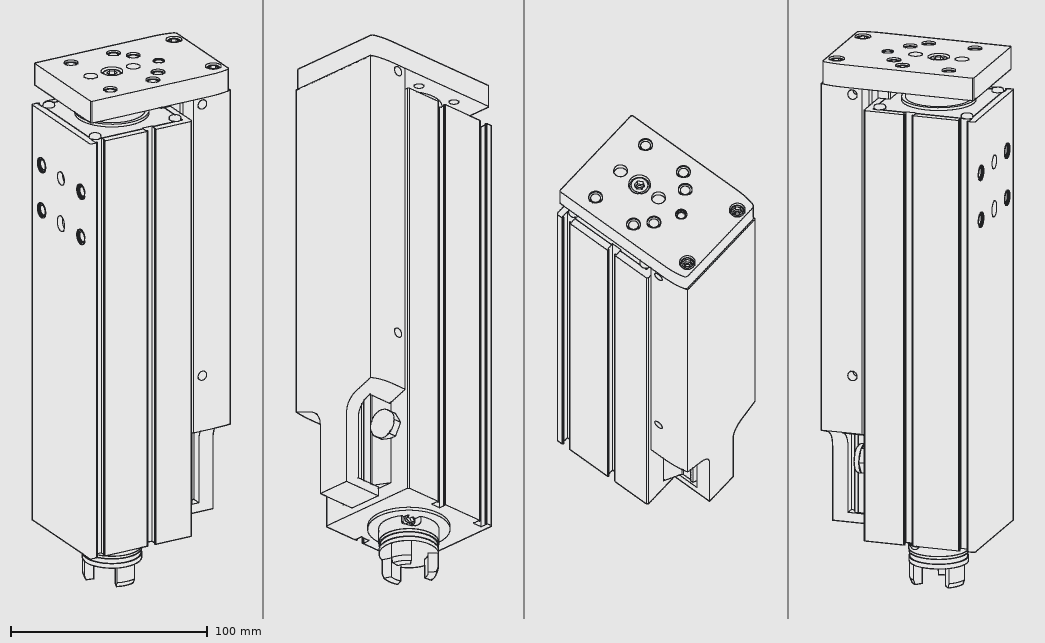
import cadquery as cq
import math


TIP_HALF_ANGLE = 59.0
TIP_FRACTION = 0.9

HOUSING_SIZE = 60.0
HOUSING_HEIGHT = 229.5
HOUSING_HALF = HOUSING_SIZE / 2
FRONT_CORNER_ROUND = 1.0
BACK_CORNER_CHAMFER = 0.8
CAP_INSET = 3.8
CAP_RAISE = 0.2
SLOT_CENTRES_Y = (6.0, -23.8)
SLOT_STEPS = ((4.9, 0.3), (4.0, 0.8))
SLOT_CAVITY_WIDTH = 5.6
SLOT_DEPTH = 4.5
COLLAR_DIAMETER = 38.0
COLLAR_HEIGHT = 1.7
LID_SCREW_OFFSET = 23.5
LID_SCREW_DIAMETER = 6.0
LID_SCREW_HEIGHT = 1.7
LID_SCREW_DOME = 0.9
BASE_FLANGE_DIAMETER = 42.0
BASE_FLANGE_HEIGHT = 1.7

PATTERN_X = 20.0
PATTERN_PITCH = 25.0
PATTERN_DROP = 30.0
PATTERN_TOP_Z = HOUSING_HEIGHT - PATTERN_DROP
PATTERN_BOTTOM_Z = PATTERN_TOP_Z - PATTERN_PITCH
DOWEL_DIAMETER = 7.0
DOWEL_DEPTH = 3.0
DOWEL_SLOT_LENGTH = 8.3
INSERT_STEPS = ((8.0, 0.5), (6.5, 1.0), (5.0, 10.0), (4.13, 14.0))

NUT_X = -16.9
NUT_Z = 39.6
NUT_ACROSS_FLATS = 13.0
NUT_LENGTH = 4.6
NUT_HEAD_DIAMETER = 15.0
NUT_HEAD_HEIGHT = 3.0
NUT_HEAD_ROUND = 1.5

ROD_DIAMETER = 34.0
ROD_SEAT_DEPTH = 20.0
ROD_SCREW_SHANK = 8.5
ROD_SCREW_HEAD = 10.0
ROD_SCREW_HEAD_HEIGHT = 6.0
ROD_SCREW_CHAMFER = 0.75
ROD_SCREW_SOCKET = 4.5
ROD_SCREW_SOCKET_DEPTH = 3.0
ROD_SCREW_PILOT = 3.0
ROD_SCREW_PILOT_DEPTH = 5.0
ROD_SCREW_RECESS = 0.8

PLATE_GAP = 11.0
PLATE_THICKNESS = 12.0
PLATE_BOTTOM = HOUSING_HEIGHT + PLATE_GAP
PLATE_TOP = PLATE_BOTTOM + PLATE_THICKNESS
PLATE_FRONT_Y = -29.0
PLATE_FRONT_CHAMFER = 0.5
PLATE_BACK_Y = 53.3
PLATE_BACK_ROUND = 2.0
ROD_SCREW_HOLE = 11.0
TAP_RIM = 7.0
TAP_BORE = 5.0
TAP_RIM_DEPTH = 1.0
UPPER_TAP_X = 12.5
UPPER_TAP_Y = 19.8
STOP_HOLE_STEPS = ((5.7, 0.6), (4.51, 2.0), (4.0, 9.0))
STOP_Y = 27.5
TABLE_SCREW_X = 20.0
TABLE_SCREW_Y = 48.0
TABLE_SCREW_BORE = 8.0
TABLE_SCREW_BORE_DEPTH = 5.0
TABLE_SCREW_HEAD = 7.0
TABLE_SCREW_CHAMFER = 0.6
TABLE_SCREW_RECESS = 0.6
TABLE_SCREW_SOCKET = 4.0
TABLE_SCREW_SOCKET_DEPTH = 2.5
TABLE_SCREW_PILOT = 2.46
TABLE_SCREW_PILOT_DEPTH = 3.5

SLIDE_HALF = 29.0
SLIDE_BACK_HALF = 27.0
SLIDE_STRAIGHT_Y = 41.4
TABLE_FRONT_Y = 31.3
TABLE_BACK_Y = 54.0
TABLE_SHOULDER_Z = 56.4
SHOULDER_SLOPE = 20.0
TAIL_HALF = 9.5
TAIL_ROUND = 10.4
TAIL_BOTTOM_Z = 2.5
HOOK_TOP_Z = 7.6
CHANNEL_HALF = 17.9
CHANNEL_BACK_Y = 45.6
SIDE_HOLE_DIAMETER = 5.0
SIDE_HOLE_DEPTH = 8.0
SIDE_HOLE_Y = 36.4
SIDE_HOLES_Z = (237.0, 87.0)

RAIL_FOOT_HALF = 17.4
RAIL_FOOT_TOP_Y = 34.8
RAIL_FLARE_HALF = 8.4
RAIL_FLARE_Y = 35.5
RAIL_WAIST_HALF = 8.0
RAIL_HEAD_HALF = 8.5
RAIL_STEP_Y = 40.5
RAIL_SHOULDER_Y = 42.2
RAIL_NECK_Y = 43.9
RAIL_NECK_HALF = 4.5
STOP_HALF_WIDTH = 8.0
STOP_FRONT_Y = 23.6
STOP_TOP_Z = 237.0
STOP_CHAMFER = 0.8
STOP_SCREW_DIAMETER = 5.5

COUPLING_DIAMETER = 30.8
HUB_BOTTOM_Z = -10.9
HUB_LINE_Z = -9.3
HUB_BAND_DIAMETER = 30.4
GROOVE_BOTTOM_Z = -13.5
GROOVE_DIAMETER = 29.4
RIM_BOTTOM_Z = -16.0
RIM_DIAMETER = 30.4
JAW_BOTTOM_Z = -26.8
JAW_OUTER_RADIUS = 15.0
JAW_INNER_RADIUS = 9.8
JAW_HALF_ANGLE = 20.5
JAW_COUNT = 3
JAW_CHAMFER_WIDTH = 1.0
JAW_CHAMFER_HEIGHT = 2.6
CLAMP_Y = 9.4
CLAMP_Z = -3.6
CLAMP_BORE_DIAMETER = 8.0
CLAMP_FLOOR_X = -8.0
CLAMP_HEAD_DIAMETER = 5.7
CLAMP_HEAD_HEIGHT = 3.0
CLAMP_SOCKET = 4.0
CLAMP_SOCKET_DEPTH = 2.0


def block(x_range, y_range, z_range):
    """Box between two limits on each axis."""
    sizes = [high - low for low, high in (x_range, y_range, z_range)]
    corner = (x_range[0], y_range[0], z_range[0])
    return cq.Workplane("XY").box(*sizes, centered=False).translate(corner)


def upright(diameter, z_range, points=((0, 0),)):
    """Cylinders along Z between two heights."""
    low, high = z_range
    base = cq.Workplane("XY").workplane(offset=low)
    return base.pushPoints(points).circle(diameter / 2).extrude(high - low)


def hexagon(across_flats):
    """Corner-to-corner diameter of a hexagon."""
    return across_flats / math.cos(math.pi / 6)


def stepped_drill(steps, plane, points):
    """Coaxial cylinders cut from the plane against its normal, one per (diameter, depth) step."""
    drill = plane.pushPoints(points).circle(steps[0][0] / 2).extrude(-steps[0][1])
    for diameter, depth in steps[1:]:
        drill = drill.union(plane.pushPoints(points).circle(diameter / 2).extrude(-depth))
    return drill


def drill_tips(diameter, depth, plane, points):
    """Conical ends of drilled holes that are cut from the plane to the given depth."""
    tip = TIP_FRACTION * diameter / 2 / math.tan(math.radians(TIP_HALF_ANGLE))
    end = plane.workplane(offset=-depth)
    return end.pushPoints(points).circle(diameter / 2).extrude(-tip, taper=TIP_HALF_ANGLE)


def socket_head(head, chamfer, height, socket, pilot):
    """Screw head standing on Z = 0 with a hexagon socket and a pilot hole below it."""
    body = cq.Workplane("XY").circle(head / 2).extrude(height)
    body = body.faces(">Z").edges().chamfer(chamfer)
    top = cq.Workplane("XY").workplane(offset=height)
    socket_size, socket_depth = socket
    body = body.cut(top.polygon(6, hexagon(socket_size)).extrude(-socket_depth))
    return body.cut(stepped_drill((pilot,), top, [(0, 0)]))


def add_lid_screws(body):
    head_top = HOUSING_HEIGHT + LID_SCREW_HEIGHT
    for x in (-LID_SCREW_OFFSET, LID_SCREW_OFFSET):
        for y in (-LID_SCREW_OFFSET, LID_SCREW_OFFSET):
            head = upright(LID_SCREW_DIAMETER, (HOUSING_HEIGHT, head_top), [(x, y)])
            head = head.faces(">Z").edges().fillet(LID_SCREW_DOME)
            body = body.union(head)
    return body


def make_stop_nut():
    plane = cq.Workplane("XZ", origin=(NUT_X, HOUSING_HALF, NUT_Z))
    hex_part = plane.polygon(6, hexagon(NUT_ACROSS_FLATS)).extrude(-NUT_LENGTH)
    head = plane.workplane(offset=-NUT_LENGTH).circle(NUT_HEAD_DIAMETER / 2).extrude(-NUT_HEAD_HEIGHT)
    head = head.faces(">Y").edges().fillet(NUT_HEAD_ROUND)
    return hex_part.union(head)


def make_sensor_slot(side, y):
    """Stepped mouth leading into a wider cavity, along the whole height of one side."""
    height = HOUSING_HEIGHT + CAP_RAISE
    mouth_depth = SLOT_STEPS[-1][1]
    cavity_depth = SLOT_DEPTH - mouth_depth
    cavity_x = HOUSING_HALF - mouth_depth - cavity_depth / 2
    slot = cq.Workplane("XY").center(side * cavity_x, y).rect(cavity_depth, SLOT_CAVITY_WIDTH).extrude(height)
    for width, depth in SLOT_STEPS:
        step = cq.Workplane("XY").center(side * HOUSING_HALF, y).rect(2 * depth, width).extrude(height)
        slot = slot.union(step)
    return slot


def make_housing():
    body = cq.Workplane("XY").rect(HOUSING_SIZE, HOUSING_SIZE).extrude(HOUSING_HEIGHT)
    body = body.edges("|Z and <Y").fillet(FRONT_CORNER_ROUND)
    body = body.edges("|Z and >Y").chamfer(BACK_CORNER_CHAMFER)
    cap_size = HOUSING_SIZE - 2 * CAP_INSET
    cap = cq.Workplane("XY").workplane(offset=HOUSING_HEIGHT).rect(cap_size, cap_size).extrude(CAP_RAISE)
    body = body.union(cap)

    for y in SLOT_CENTRES_Y:
        for side in (-1, 1):
            body = body.cut(make_sensor_slot(side, y))

    inserts = [(x, z) for x in (-PATTERN_X, PATTERN_X) for z in (PATTERN_TOP_Z, PATTERN_BOTTOM_Z)]
    front = cq.Workplane("XZ", origin=(0, -HOUSING_HALF, 0))
    body = body.cut(stepped_drill(INSERT_STEPS, front, inserts))
    body = body.cut(drill_tips(*INSERT_STEPS[-1], front, inserts))
    body = body.cut(stepped_drill(((DOWEL_DIAMETER, DOWEL_DEPTH),), front, [(0, PATTERN_TOP_Z)]))
    dowel_slot = (
        cq.Workplane("XZ", origin=(0, -HOUSING_HALF, PATTERN_BOTTOM_Z))
        .slot2D(DOWEL_SLOT_LENGTH, DOWEL_DIAMETER, 90)
        .extrude(-DOWEL_DEPTH)
    )
    body = body.cut(dowel_slot)

    body = body.union(upright(COLLAR_DIAMETER, (HOUSING_HEIGHT, HOUSING_HEIGHT + COLLAR_HEIGHT)))
    rod_seat = (HOUSING_HEIGHT - ROD_SEAT_DEPTH, HOUSING_HEIGHT + COLLAR_HEIGHT)
    body = body.cut(upright(ROD_DIAMETER, rod_seat))
    body = add_lid_screws(body)
    return body.union(upright(BASE_FLANGE_DIAMETER, (-BASE_FLANGE_HEIGHT, 0)))


def make_rod():
    rod = upright(ROD_DIAMETER, (HOUSING_HEIGHT - ROD_SEAT_DEPTH, PLATE_BOTTOM))
    head_top = PLATE_TOP - ROD_SCREW_RECESS
    head_bottom = head_top - ROD_SCREW_HEAD_HEIGHT
    head = socket_head(
        ROD_SCREW_HEAD,
        ROD_SCREW_CHAMFER,
        ROD_SCREW_HEAD_HEIGHT,
        (ROD_SCREW_SOCKET, ROD_SCREW_SOCKET_DEPTH),
        (ROD_SCREW_PILOT, ROD_SCREW_PILOT_DEPTH),
    )
    shank = upright(ROD_SCREW_SHANK, (PLATE_BOTTOM, head_bottom))
    return rod.union(shank).union(head.translate((0, 0, head_bottom)))


def slide_outline(front_y):
    """Outline of the moving slide: straight sides that curve inwards to the back of the table."""
    middle = (SLIDE_STRAIGHT_Y + TABLE_BACK_Y) / 2
    inset = SLIDE_HALF - SLIDE_BACK_HALF
    middle_half = SLIDE_HALF - inset / 4
    return (
        cq.Workplane("XY")
        .moveTo(-SLIDE_HALF, front_y)
        .lineTo(SLIDE_HALF, front_y)
        .lineTo(SLIDE_HALF, SLIDE_STRAIGHT_Y)
        .threePointArc((middle_half, middle), (SLIDE_BACK_HALF, TABLE_BACK_Y))
        .lineTo(-SLIDE_BACK_HALF, TABLE_BACK_Y)
        .threePointArc((-middle_half, middle), (-SLIDE_HALF, SLIDE_STRAIGHT_Y))
        .close()
    )


def make_plate():
    plate = slide_outline(PLATE_FRONT_Y).extrude(PLATE_THICKNESS)
    plate = plate.edges("|Z and <Y").chamfer(PLATE_FRONT_CHAMFER)
    back_trim = block((-SLIDE_HALF, SLIDE_HALF), (PLATE_BACK_Y, TABLE_BACK_Y), (0, PLATE_THICKNESS))
    plate = plate.cut(back_trim)
    plate = plate.edges("|Z and >Y").fillet(PLATE_BACK_ROUND)
    plate = plate.translate((0, 0, PLATE_BOTTOM))
    whole = (PLATE_BOTTOM, PLATE_TOP)

    half_pitch = PATTERN_PITCH / 2
    top = cq.Workplane("XY").workplane(offset=PLATE_TOP)
    dowels = [(0, half_pitch), (0, -half_pitch)]
    head_seat = PLATE_TOP - ROD_SCREW_RECESS - ROD_SCREW_HEAD_HEIGHT
    plate = plate.cut(upright(ROD_SCREW_SHANK, whole))
    plate = plate.cut(upright(ROD_SCREW_HOLE, (head_seat, PLATE_TOP)))
    plate = plate.cut(stepped_drill(((DOWEL_DIAMETER, DOWEL_DEPTH),), top, dowels))
    plate = plate.cut(stepped_drill(STOP_HOLE_STEPS, top, [(0, STOP_Y)]))
    plate = plate.cut(drill_tips(*STOP_HOLE_STEPS[-1], top, [(0, STOP_Y)]))

    taps = [(x, y) for x in (-PATTERN_X, PATTERN_X) for y in (-half_pitch, half_pitch)]
    taps += [(-UPPER_TAP_X, UPPER_TAP_Y), (UPPER_TAP_X, UPPER_TAP_Y)]
    plate = plate.cut(stepped_drill(((TAP_RIM, TAP_RIM_DEPTH), (TAP_BORE, PLATE_THICKNESS)), top, taps))

    screws = [(-TABLE_SCREW_X, TABLE_SCREW_Y), (TABLE_SCREW_X, TABLE_SCREW_Y)]
    plate = plate.cut(stepped_drill(((TABLE_SCREW_BORE, TABLE_SCREW_BORE_DEPTH),), top, screws))
    head = socket_head(
        TABLE_SCREW_HEAD,
        TABLE_SCREW_CHAMFER,
        TABLE_SCREW_BORE_DEPTH - TABLE_SCREW_RECESS,
        (TABLE_SCREW_SOCKET, TABLE_SCREW_SOCKET_DEPTH),
        (TABLE_SCREW_PILOT, TABLE_SCREW_PILOT_DEPTH),
    )
    for x, y in screws:
        plate = plate.union(head.translate((x, y, PLATE_TOP - TABLE_SCREW_BORE_DEPTH)))
    return plate


def make_table():
    table = slide_outline(TABLE_FRONT_Y).extrude(PLATE_BOTTOM)
    drop = (SLIDE_HALF - TAIL_HALF) * math.tan(math.radians(SHOULDER_SLOPE))
    inner_z = TABLE_SHOULDER_Z - drop
    middle_y = (TABLE_FRONT_Y + TABLE_BACK_Y) / 2
    for side in (-1, 1):
        relief = (
            cq.Workplane("XZ", origin=(0, TABLE_FRONT_Y, 0))
            .moveTo(side * TAIL_HALF, 0)
            .lineTo(side * TAIL_HALF, inner_z)
            .lineTo(side * SLIDE_HALF, TABLE_SHOULDER_Z)
            .lineTo(side * SLIDE_HALF, 0)
            .close()
            .extrude(TABLE_FRONT_Y - TABLE_BACK_Y)
        )
        corner = cq.NearestToPointSelector((side * TAIL_HALF, middle_y, inner_z))
        table = table.cut(relief.edges(corner).fillet(TAIL_ROUND))
    below_tail = block((-SLIDE_HALF, SLIDE_HALF), (TABLE_FRONT_Y, TABLE_BACK_Y), (0, TAIL_BOTTOM_Z))
    table = table.cut(below_tail)
    channel = block(
        (-CHANNEL_HALF, CHANNEL_HALF), (TABLE_FRONT_Y, CHANNEL_BACK_Y), (HOOK_TOP_Z, PLATE_BOTTOM)
    )
    table = table.cut(channel)
    for side in (-1, 1):
        for z in SIDE_HOLES_Z:
            side_face = cq.Workplane("YZ", origin=(side * SLIDE_HALF, SIDE_HOLE_Y, z))
            hole = side_face.circle(SIDE_HOLE_DIAMETER / 2).extrude(-side * SIDE_HOLE_DEPTH)
            table = table.cut(hole)
    return table


def make_rail():
    half = [
        (RAIL_FOOT_HALF, HOUSING_HALF),
        (RAIL_FLARE_HALF, RAIL_FOOT_TOP_Y),
        (RAIL_WAIST_HALF, RAIL_FLARE_Y),
        (RAIL_WAIST_HALF, RAIL_STEP_Y),
        (RAIL_HEAD_HALF, RAIL_STEP_Y),
        (RAIL_HEAD_HALF, RAIL_SHOULDER_Y),
        (RAIL_NECK_HALF, RAIL_NECK_Y),
        (RAIL_NECK_HALF, CHANNEL_BACK_Y),
    ]
    outline = half + [(-x, y) for x, y in reversed(half)]
    base = cq.Workplane("XY").workplane(offset=HOOK_TOP_Z)
    rail = base.polyline(outline).close().extrude(STOP_TOP_Z - HOOK_TOP_Z)

    stop = block(
        (-STOP_HALF_WIDTH, STOP_HALF_WIDTH),
        (STOP_FRONT_Y, RAIL_STEP_Y),
        (HOUSING_HEIGHT + CAP_RAISE, STOP_TOP_Z),
    )
    stop = stop.edges("|Z and <Y").chamfer(STOP_CHAMFER)
    screw = upright(STOP_SCREW_DIAMETER, (STOP_TOP_Z, PLATE_BOTTOM), [(0, STOP_Y)])
    return rail.union(stop).union(screw).union(make_stop_nut())


def make_coupling():
    top = -BASE_FLANGE_HEIGHT
    coupling = upright(COUPLING_DIAMETER, (HUB_LINE_Z, top))
    coupling = coupling.union(upright(HUB_BAND_DIAMETER, (HUB_BOTTOM_Z, HUB_LINE_Z)))
    coupling = coupling.union(upright(GROOVE_DIAMETER, (GROOVE_BOTTOM_Z, HUB_BOTTOM_Z)))
    coupling = coupling.union(upright(RIM_DIAMETER, (RIM_BOTTOM_Z, GROOVE_BOTTOM_Z)))
    section = (
        cq.Workplane("XZ")
        .moveTo(JAW_INNER_RADIUS, RIM_BOTTOM_Z)
        .lineTo(JAW_OUTER_RADIUS, RIM_BOTTOM_Z)
        .lineTo(JAW_OUTER_RADIUS, JAW_BOTTOM_Z + JAW_CHAMFER_HEIGHT)
        .lineTo(JAW_OUTER_RADIUS - JAW_CHAMFER_WIDTH, JAW_BOTTOM_Z)
        .lineTo(JAW_INNER_RADIUS, JAW_BOTTOM_Z)
        .close()
    )
    jaw = section.revolve(2 * JAW_HALF_ANGLE, (0, 0, 0), (0, 1, 0))
    jaw = jaw.rotate((0, 0, 0), (0, 0, 1), -JAW_HALF_ANGLE)
    for index in range(JAW_COUNT):
        coupling = coupling.union(jaw.rotate((0, 0, 0), (0, 0, 1), index * 360 / JAW_COUNT))

    bore_start = -COUPLING_DIAMETER / 2
    entry = cq.Workplane("YZ", origin=(bore_start, CLAMP_Y, CLAMP_Z))
    coupling = coupling.cut(entry.circle(CLAMP_BORE_DIAMETER / 2).extrude(CLAMP_FLOOR_X - bore_start))
    floor = cq.Workplane("YZ", origin=(CLAMP_FLOOR_X, CLAMP_Y, CLAMP_Z))
    head = floor.circle(CLAMP_HEAD_DIAMETER / 2).extrude(-CLAMP_HEAD_HEIGHT)
    head_face = floor.workplane(offset=-CLAMP_HEAD_HEIGHT)
    socket = head_face.polygon(6, hexagon(CLAMP_SOCKET)).extrude(CLAMP_SOCKET_DEPTH)
    below_flange = upright(COUPLING_DIAMETER, (RIM_BOTTOM_Z, top))
    coupling = coupling.union(head.intersect(below_flange)).cut(socket)
    return coupling


housing = make_housing()
rod = make_rod()
plate = make_plate()
table = make_table()
rail = make_rail()
coupling = make_coupling()

bodies = [housing, rod, plate, table, rail, coupling]
result = cq.Compound.makeCompound([body.solids().val() for body in bodies])